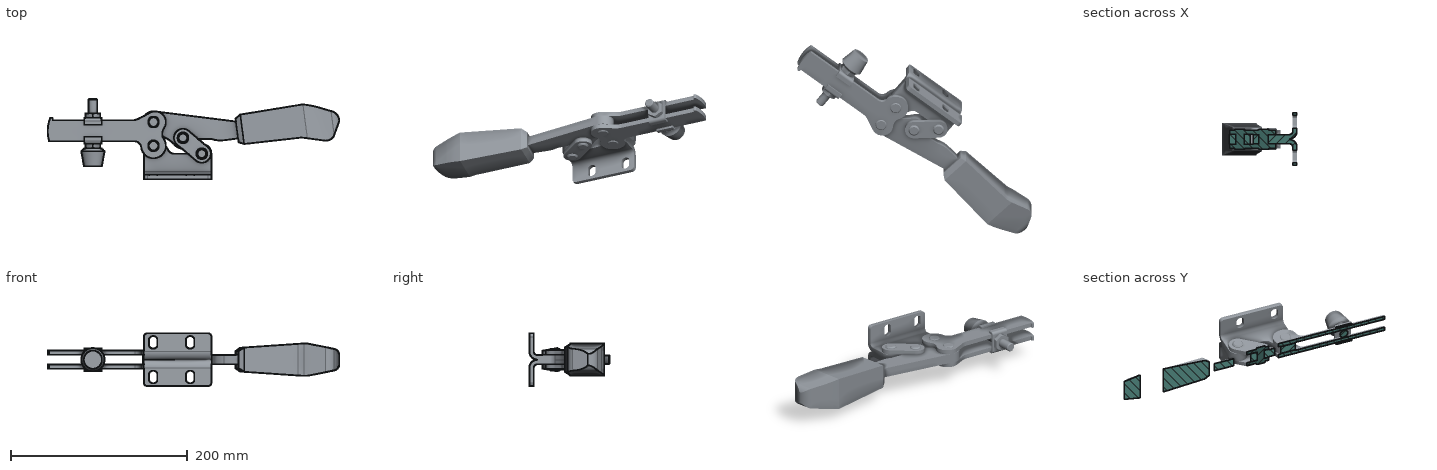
import cadquery as cq
import math


DOWN = -math.pi / 2

core_thickness = 10.8
plate_thickness = 5.0
core_half = core_thickness / 2
plate_outer = core_half + plate_thickness

base_pivot = (10.9, 38.05)
lever_pivot = (10.9, 64.9)
link_lever_pivot = (44.2, 47.0)
link_base_pivot = (65.5, 29.1)

pin_radius = 5.0
head_radius = 6.2
arm_head_height = 1.0
arm_head_chamfer = 0.9
link_head_height = 2.0
link_head_chamfer = 1.4

base_length = 76.5
base_width = 60.0
flange_thickness = 5.2
bend_outer_radius = 9.3
bend_inner_radius = bend_outer_radius - core_half
flange_corner_radius = 4.0
web_top = 29.1
base_lug_radius = 12.0
link_lug_radius = base_length - link_base_pivot[0]
web_fillet_radius = 8.0
lug_flank_angle = math.radians(60)
slot_width = 9.0
slot_length = 14.0
slot_end_radius = 5.0
slot_xs = (10.6, 52.4)
slot_z = 19.6

arm_bottom = 43.0
arm_top = 67.0
tip_left = -108.8
tip_radius = 42.0
tip_center = (tip_left + tip_radius, 54.5)
hook_top = 69.0
hook_crest = (-104.6, 70.0)
hook_heel = (-103.2, arm_top)
knuckle_center = (12.9, 64.9)
knuckle_radius = 12.0
pivot_lobe_radius = 14.1
shoulder_angle = math.radians(27)
shoulder_radius = 14.0
neck_radius = 11.0
throat_radius = 7.5

link_radius = 10.2

lever_hub_radius = 12.2
lever_lobe_radius = 12.3
lever_top_slope = math.radians(7.1)
lever_belly_start = (76.6, 45.6)
lever_notch = (20.0, 48.7)
lever_notch_middle = (28.8, 44.3)
lever_notch_end_angle = math.radians(225)
hub_end_angle = math.radians(-70)
tang_start = (90.4, 44.1)

grip_origin = (105.3, 55.4)
grip_tilt = 7.5
grip_mouth_half_height = 13.5
grip_mouth_half_width = 9.7
grip_chamfer_length = 6.0
grip_front_half_width = 13.6
grip_waist_u = 77.5
grip_waist_half_width = 18.4
grip_nose_u = 108.0
grip_nose_half_width = 12.3
grip_tip_u = 117.0
grip_depth = 30.0
grip_nose_bulge = (115.0, 8.5)

grip_front_top_v = 17.4
grip_front_bottom_v = -16.4
grip_waist_top_v = 19.6
grip_crown = (87.8, 16.6)
grip_crown_end = (95.5, 13.6)
grip_brow = (109.7, 7.3)
grip_brow_bulge = (115.0, 2.0)
grip_tip = (116.12, -4.7)
grip_heel_start = (107.5, -21.1)
grip_heel_bulge = (103.3, -24.0)
grip_heel_end = (97.5, -24.7)
grip_palm_start = (73.9, -18.3)
grip_palm_middle = (70.4, -17.6)
grip_palm_end = (66.9, -17.6)

tang_insertion = 2 * grip_chamfer_length

spindle_x = -57.6
spindle_top = 91.0
spindle_radius = 5.0
spindle_chamfer = 1.0
nut_across_flats = 17.0
nut_height = 5.3
nut_chamfer = 0.8
cap_rim_radius = 13.3
cap_top_radius = 9.8
cap_foot_radius = 10.2
cap_rim_y = 31.8
cap_foot_y = 14.7

washer_thickness = 2.5
washer_length = 20.0
washer_depth = 7.5
washer_bend_radius = 3.0


def polar(center, radius, angle):
    """Point at a radius and angle from a center."""
    return (center[0] + radius * math.cos(angle), center[1] + radius * math.sin(angle))


def step(start, toward, distance):
    """Point a distance away from start in the direction of another point."""
    span = math.dist(start, toward)
    return tuple(a + (b - a) * distance / span for a, b in zip(start, toward))


def blend_center(first, first_reach, second, second_reach):
    """Point at given distances from two centers, on the right when going from second to first."""
    span = math.dist(first, second)
    along = (second_reach**2 - first_reach**2 + span**2) / (2 * span)
    across = math.sqrt(second_reach**2 - along**2)
    ux, uy = (first[0] - second[0]) / span, (first[1] - second[1]) / span
    return (second[0] + along * ux + across * uy, second[1] + along * uy - across * ux)


def disc(center, radius, half_height):
    return (
        cq.Workplane("XY", origin=(center[0], center[1], 0))
        .circle(radius)
        .extrude(half_height, both=True)
    )


def plate_pair(outline):
    """Two copies of a flat plate, one on each side of the core."""
    upper = outline.extrude(plate_thickness).translate((0, 0, core_half))
    return upper, upper.mirror("XY")


def headed_pin(center, head_height, chamfer):
    """Pin through both plates, with a chamfered head standing out on each side."""
    head = disc(center, head_radius, plate_outer + head_height).faces("<Z or >Z").chamfer(chamfer)
    gap = disc(center, head_radius, core_half)
    return head.cut(gap).union(disc(center, pin_radius, core_half))


def joined_plates(outline, pivots, head_height, chamfer):
    """Plate pair held together by headed pins."""
    upper, lower = plate_pair(outline)
    body = upper
    for pivot in pivots:
        body = body.union(headed_pin(pivot, head_height, chamfer))
    return body.union(lower)


def make_base():
    diagonal = math.sqrt(0.5)
    half_width = base_width / 2
    inner_z = core_half + bend_inner_radius
    inner_y = flange_thickness + bend_inner_radius
    inner_mid = (inner_y - bend_inner_radius * diagonal, inner_z - bend_inner_radius * diagonal)
    outer_mid = bend_outer_radius * (1 - diagonal)
    profile = (
        cq.Workplane("YZ")
        .moveTo(web_top, core_half)
        .lineTo(inner_y, core_half)
        .threePointArc(inner_mid, (flange_thickness, inner_z))
        .lineTo(flange_thickness, half_width)
        .lineTo(0, half_width)
        .lineTo(0, bend_outer_radius)
        .threePointArc((outer_mid, outer_mid), (bend_outer_radius, 0))
        .threePointArc((outer_mid, -outer_mid), (0, -bend_outer_radius))
        .lineTo(0, -half_width)
        .lineTo(flange_thickness, -half_width)
        .lineTo(flange_thickness, -inner_z)
        .threePointArc((inner_mid[0], -inner_mid[1]), (inner_y, -core_half))
        .lineTo(web_top, -core_half)
        .close()
        .extrude(base_length)
    )
    base = profile.edges("|Y and (<Z or >Z)").fillet(flange_corner_radius)

    flank_top = polar(base_pivot, base_lug_radius, math.pi / 2 - lug_flank_angle)
    flank_foot_x = flank_top[0] + (flank_top[1] - web_top) / math.tan(lug_flank_angle)
    foot_root_y = flange_thickness + bend_inner_radius
    fillet_x = flank_foot_x + web_fillet_radius * math.tan(lug_flank_angle / 2)
    fillet_center = (fillet_x, web_top + web_fillet_radius)
    foot = (
        cq.Workplane("XY")
        .moveTo(0, foot_root_y)
        .lineTo(0, base_pivot[1])
        .lineTo(*base_pivot)
        .lineTo(*flank_top)
        .lineTo(*polar(fillet_center, web_fillet_radius, DOWN - lug_flank_angle))
        .threePointArc(
            polar(fillet_center, web_fillet_radius, DOWN - lug_flank_angle / 2),
            (fillet_x, web_top),
        )
        .lineTo(fillet_x, foot_root_y)
        .close()
        .extrude(core_half, both=True)
    )
    base = base.union(foot)
    base = base.union(disc(base_pivot, base_lug_radius, core_half))
    base = base.union(disc(link_base_pivot, link_lug_radius, core_half))

    for pivot in (base_pivot, link_base_pivot):
        base = base.cut(disc(pivot, pin_radius, core_half))
    return base.cut(mounting_slots())


def mounting_slots():
    """Four slots with shallow arched ends."""
    half_width = slot_width / 2
    half_length = slot_length / 2
    side = half_length - slot_end_radius + math.sqrt(slot_end_radius**2 - half_width**2)
    centers = [(x, z) for x in slot_xs for z in (slot_z, -slot_z)]
    slots = cq.Workplane("XZ")
    for x, z in centers:
        slots = (
            slots.moveTo(x - half_width, z - side)
            .threePointArc((x, z - half_length), (x + half_width, z - side))
            .lineTo(x + half_width, z + side)
            .threePointArc((x, z + half_length), (x - half_width, z + side))
            .close()
        )
    return slots.extrude(-flange_thickness)


def arm_outline():
    knuckle_tangent = polar(knuckle_center, knuckle_radius, math.pi / 2 + shoulder_angle)
    rise = knuckle_tangent[1] - arm_top
    corner_x = knuckle_tangent[0] - rise / math.tan(shoulder_angle)
    shoulder_center = (
        corner_x - shoulder_radius * math.tan(shoulder_angle / 2),
        arm_top + shoulder_radius,
    )
    neck_center = blend_center(
        knuckle_center, knuckle_radius + neck_radius, base_pivot, pivot_lobe_radius + neck_radius
    )
    throat_y = arm_bottom - throat_radius
    throat_reach = pivot_lobe_radius + throat_radius
    throat_x = base_pivot[0] - math.sqrt(throat_reach**2 - (throat_y - base_pivot[1]) ** 2)
    throat_center = (throat_x, throat_y)
    neck_left = (neck_center[0] - neck_radius, neck_center[1])

    def tip_point(y):
        return (tip_center[0] - math.sqrt(tip_radius**2 - (y - tip_center[1]) ** 2), y)

    return (
        cq.Workplane("XY")
        .moveTo(*tip_point(arm_bottom))
        .threePointArc((tip_left, tip_center[1]), tip_point(hook_top))
        .threePointArc(hook_crest, hook_heel)
        .lineTo(shoulder_center[0], arm_top)
        .threePointArc(
            polar(shoulder_center, shoulder_radius, DOWN + shoulder_angle / 2),
            polar(shoulder_center, shoulder_radius, DOWN + shoulder_angle),
        )
        .lineTo(*knuckle_tangent)
        .threePointArc(
            polar(knuckle_center, knuckle_radius, math.radians(45)),
            step(knuckle_center, neck_center, knuckle_radius),
        )
        .threePointArc(neck_left, step(base_pivot, neck_center, pivot_lobe_radius))
        .threePointArc(
            polar(base_pivot, pivot_lobe_radius, DOWN),
            step(base_pivot, throat_center, pivot_lobe_radius),
        )
        .threePointArc(
            polar(throat_center, throat_radius, math.radians(45)),
            (throat_x, arm_bottom),
        )
        .close()
    )


def make_arm():
    pivots = (base_pivot, lever_pivot)
    return joined_plates(arm_outline(), pivots, arm_head_height, arm_head_chamfer)


def make_link():
    length = math.dist(link_lever_pivot, link_base_pivot)
    dx = link_base_pivot[0] - link_lever_pivot[0]
    dy = link_base_pivot[1] - link_lever_pivot[1]
    middle = (link_lever_pivot[0] + dx / 2, link_lever_pivot[1] + dy / 2)
    outline = (
        cq.Workplane("XY")
        .center(*middle)
        .slot2D(length + 2 * link_radius, 2 * link_radius, math.degrees(math.atan2(dy, dx)))
    )
    pivots = (link_lever_pivot, link_base_pivot)
    return joined_plates(outline, pivots, link_head_height, link_head_chamfer)


def grip_point(u, v):
    """Position in X and Y of a point of the grip frame."""
    return polar(
        polar(grip_origin, u, math.radians(grip_tilt)), v, math.radians(grip_tilt + 90)
    )


def make_lever():
    hub_tangent = polar(lever_pivot, lever_hub_radius, math.pi / 2 - lever_top_slope)
    tang_end = grip_point(tang_insertion, 0)
    top_end_y = hub_tangent[1] - (tang_end[0] - hub_tangent[0]) * math.tan(lever_top_slope)
    tilt = math.radians(grip_tilt)
    tang_bottom_y = tang_start[1] + (tang_end[0] - tang_start[0]) * math.tan(tilt)
    lobe_drop = link_lever_pivot[1] - lever_belly_start[1]
    lobe_right = link_lever_pivot[0] + math.sqrt(lever_lobe_radius**2 - lobe_drop**2)
    lever = (
        cq.Workplane("XY")
        .moveTo(*hub_tangent)
        .lineTo(tang_end[0], top_end_y)
        .lineTo(tang_end[0], tang_bottom_y)
        .lineTo(*tang_start)
        .tangentArcPoint(lever_belly_start, relative=False)
        .lineTo(lobe_right, lever_belly_start[1])
        .threePointArc(
            polar(link_lever_pivot, lever_lobe_radius, DOWN),
            polar(link_lever_pivot, lever_lobe_radius, lever_notch_end_angle),
        )
        .threePointArc(lever_notch_middle, lever_notch)
        .lineTo(*polar(lever_pivot, lever_hub_radius, hub_end_angle))
        .threePointArc(polar(lever_pivot, lever_hub_radius, math.pi), hub_tangent)
        .close()
        .extrude(core_half, both=True)
    )
    for pivot in (lever_pivot, link_lever_pivot):
        lever = lever.cut(disc(pivot, pin_radius, core_half))
    return lever


def make_grip():
    side = (
        cq.Workplane("XY")
        .moveTo(0, -grip_mouth_half_height)
        .lineTo(0, grip_mouth_half_height)
        .lineTo(grip_chamfer_length, grip_front_top_v)
        .lineTo(grip_waist_u, grip_waist_top_v)
        .threePointArc(grip_crown, grip_crown_end)
        .lineTo(*grip_brow)
        .threePointArc(grip_brow_bulge, grip_tip)
        .lineTo(*grip_heel_start)
        .threePointArc(grip_heel_bulge, grip_heel_end)
        .lineTo(*grip_palm_start)
        .threePointArc(grip_palm_middle, grip_palm_end)
        .lineTo(grip_chamfer_length, grip_front_bottom_v)
        .close()
        .extrude(grip_waist_half_width, both=True)
    )
    plan = (
        cq.Workplane("XZ")
        .moveTo(0, -grip_mouth_half_width)
        .lineTo(0, grip_mouth_half_width)
        .lineTo(grip_chamfer_length, grip_front_half_width)
        .lineTo(grip_waist_u, grip_waist_half_width)
        .lineTo(grip_nose_u, grip_nose_half_width)
        .threePointArc(grip_nose_bulge, (grip_tip_u, 0))
        .threePointArc(
            (grip_nose_bulge[0], -grip_nose_bulge[1]), (grip_nose_u, -grip_nose_half_width)
        )
        .lineTo(grip_waist_u, -grip_waist_half_width)
        .lineTo(grip_chamfer_length, -grip_front_half_width)
        .close()
        .extrude(grip_depth, both=True)
    )
    grip = side.intersect(plan)
    return grip.rotate((0, 0, 0), (0, 0, 1), grip_tilt).translate((*grip_origin, 0))


def make_handle():
    return make_lever().union(make_grip())


def make_nut(bottom):
    """Hexagon nut on the spindle axis with two corners on the Z axis."""
    corner_diameter = nut_across_flats / math.cos(math.pi / 6)
    hexagon = (
        cq.Workplane("XZ", origin=(spindle_x, bottom, 0))
        .polygon(6, corner_diameter)
        .extrude(-nut_height)
        .rotate((spindle_x, 0, 0), (spindle_x, 1, 0), 30)
    )
    rounding = (
        cq.Workplane("XZ", origin=(spindle_x, bottom, 0))
        .circle(corner_diameter / 2)
        .extrude(-nut_height)
        .faces("<Y or >Y")
        .chamfer(nut_chamfer)
    )
    return hexagon.intersect(rounding)


def make_spindle():
    lower_nut_bottom = arm_bottom - washer_thickness - nut_height
    point_radius = spindle_radius - spindle_chamfer
    turned = (
        cq.Workplane("XY")
        .moveTo(0, cap_foot_y)
        .lineTo(cap_foot_radius, cap_foot_y)
        .lineTo(cap_rim_radius, cap_rim_y)
        .lineTo(cap_top_radius, lower_nut_bottom)
        .lineTo(spindle_radius, lower_nut_bottom)
        .lineTo(spindle_radius, spindle_top - spindle_chamfer)
        .lineTo(point_radius, spindle_top)
        .lineTo(0, spindle_top)
        .close()
        .revolve(360, (0, 0, 0), (0, 1, 0))
        .translate((spindle_x, 0, 0))
    )
    return turned.union(make_nut(lower_nut_bottom)).union(make_nut(arm_top + washer_thickness))


def make_washer(seat, outward):
    """U-shaped washer lying on the arm edge at Y = seat, its back facing outward (+1 or -1)."""
    outer_half = plate_outer + washer_thickness
    flange_depth = washer_depth - washer_thickness
    channel = (
        cq.Workplane("YZ")
        .rect(2 * washer_depth, 2 * outer_half)
        .extrude(washer_length / 2, both=True)
        .edges("|X")
        .fillet(washer_bend_radius)
    )
    inside = (
        cq.Workplane("YZ")
        .rect(2 * flange_depth, 2 * plate_outer)
        .extrude(washer_length, both=True)
    )
    outer_side = cq.Workplane("XY").box(
        2 * washer_length, washer_depth, 4 * outer_half, centered=(True, False, True)
    )
    bore = cq.Workplane("XZ").circle(spindle_radius).extrude(washer_depth, both=True)
    washer = channel.cut(inside).intersect(outer_side).cut(bore)
    if outward < 0:
        washer = washer.mirror("XZ")
    return washer.translate((spindle_x, seat - outward * flange_depth, 0))


base = make_base()
arm = make_arm()
link = make_link()
handle = make_handle()
spindle = make_spindle()
washers = [make_washer(arm_top, 1), make_washer(arm_bottom, -1)]

result = cq.Compound.makeCompound(
    [
        base.val(),
        arm.val(),
        link.val(),
        handle.val(),
        spindle.val(),
        *[washer.val() for washer in washers],
    ]
)